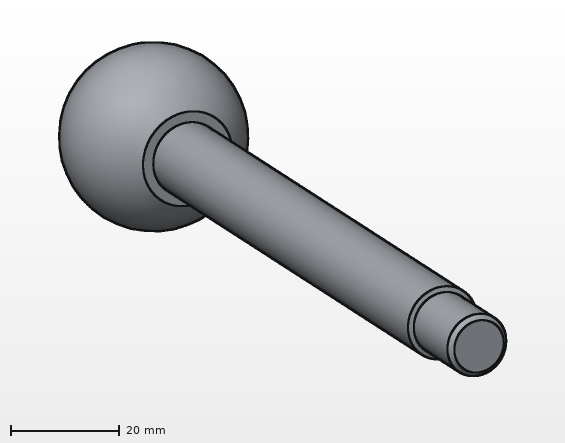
import cadquery as cq
import math

total_length = 160.0
ball_diameter = 35.0
ball_depth = 32.5
rod_diameter = 14.0
spigot_diameter = 12.0
spigot_length = 15.7
shoulder_taper = 0.3
spigot_chamfer = 1.0

ball_radius = ball_diameter / 2
rod_radius = rod_diameter / 2
spigot_radius = spigot_diameter / 2
flat_radius = math.sqrt(ball_radius**2 - (ball_depth - ball_radius) ** 2)

ball_back = ball_depth - ball_radius
end_x = total_length - ball_radius
shoulder_x = end_x - spigot_length

profile = (
    cq.Workplane("XZ")
    .moveTo(-ball_radius, 0)
    .threePointArc((0, ball_radius), (ball_back, flat_radius))
    .lineTo(ball_back, rod_radius)
    .lineTo(shoulder_x - shoulder_taper, rod_radius)
    .lineTo(shoulder_x, spigot_radius)
    .lineTo(end_x - spigot_chamfer, spigot_radius)
    .lineTo(end_x, spigot_radius - spigot_chamfer)
    .lineTo(end_x, 0)
    .close()
)

result = profile.revolve(360, (0, 0, 0), (1, 0, 0))